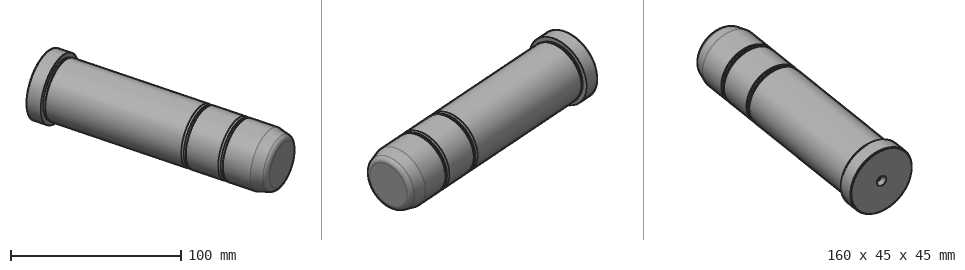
import cadquery as cq
import math

length = 160.0
head_radius = 22.5
head_length = 10.0
head_chamfer = 0.5
shank_radius = 20.0

relief_depth = 0.5
relief_floor_length = 1.3
relief_ramp_length = 0.5

groove_starts = (103.5, 128.5)
groove_depth = 0.5
groove_ramp_length = 1.5
groove_floor_length = 1.5

nose_length = 10.0
nose_angle = math.radians(15)
nose_edge_radius = 3.5

pilot_diameter = 3.15
countersink_diameter = 6.7
countersink_angle = math.radians(60)
pilot_length = 4.0
drill_point_angle = math.radians(120)


def revolve_about_x(profile):
    """Turn a closed half-profile, drawn as (X, radius), about the X axis."""
    return profile.revolve(360, (0, 0, 0), (1, 0, 0))


def make_body():
    """Head, relief, shank and nose as one turned solid."""
    relief_radius = shank_radius - relief_depth
    relief_floor_end = head_length + relief_floor_length
    relief_end = relief_floor_end + relief_ramp_length

    nose_start = length - nose_length
    arc_center_x = length - nose_edge_radius
    tangent_x = arc_center_x + nose_edge_radius * math.sin(nose_angle)
    tangent_radius = shank_radius - (tangent_x - nose_start) * math.tan(nose_angle)
    end_face_radius = tangent_radius - nose_edge_radius * math.cos(nose_angle)
    middle_angle = (nose_angle + math.pi / 2) / 2
    arc_middle = (
        arc_center_x + nose_edge_radius * math.sin(middle_angle),
        end_face_radius + nose_edge_radius * math.cos(middle_angle),
    )

    profile = (
        cq.Workplane("XZ")
        .moveTo(0, 0)
        .lineTo(0, head_radius - head_chamfer)
        .lineTo(head_chamfer, head_radius)
        .lineTo(head_length, head_radius)
        .lineTo(head_length, relief_radius)
        .lineTo(relief_floor_end, relief_radius)
        .lineTo(relief_end, shank_radius)
        .lineTo(nose_start, shank_radius)
        .lineTo(tangent_x, tangent_radius)
        .threePointArc(arc_middle, (length, end_face_radius))
        .lineTo(length, 0)
        .close()
    )
    return revolve_about_x(profile)


def make_groove(start):
    """Ring of material to remove for one groove beginning at X = start."""
    floor_radius = shank_radius - groove_depth
    floor_start = start + groove_ramp_length
    end = floor_start + groove_floor_length
    profile = (
        cq.Workplane("XZ")
        .moveTo(start, shank_radius)
        .lineTo(floor_start, floor_radius)
        .lineTo(end, floor_radius)
        .lineTo(end, shank_radius)
        .close()
    )
    return revolve_about_x(profile)


def make_center_hole():
    """Centre-drill shape to remove from the head face."""
    pilot_radius = pilot_diameter / 2
    countersink_radius = countersink_diameter / 2
    countersink_depth = (countersink_radius - pilot_radius) / math.tan(countersink_angle / 2)
    pilot_end = countersink_depth + pilot_length
    tip = pilot_end + pilot_radius / math.tan(drill_point_angle / 2)
    profile = (
        cq.Workplane("XZ")
        .moveTo(0, 0)
        .lineTo(0, countersink_radius)
        .lineTo(countersink_depth, pilot_radius)
        .lineTo(pilot_end, pilot_radius)
        .lineTo(tip, 0)
        .close()
    )
    return revolve_about_x(profile)


result = make_body().cut(make_center_hole())
for groove_start in groove_starts:
    result = result.cut(make_groove(groove_start))